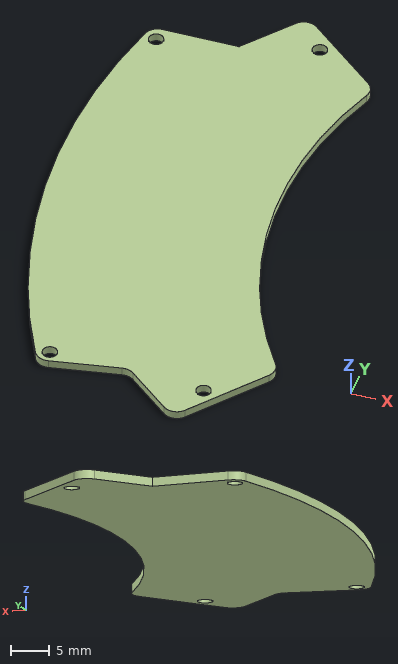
import cadquery as cq
import math

thickness = 1.2
arc_center = (65.8, 5.7)
outer_radius = 85.9
inner_radius = 55.6
corner_radius = 2.0
hole_diameter = 2.0

upper_shoulder_angle = 0.0
lower_shoulder_angle = 10.0
tab_angle = 50.0

upper_notch = (-4.2, 31.4)
upper_tab_tip = (2.8, 39.5)
lower_notch = (1.85, -32.4)
lower_tab_tip = (10.0, -39.3)

hole_centers = [(-14.9, 29.35), (6.1, 34.1), (-9.0, -32.6), (12.4, -33.35)]


def meet_arc(start, angle, radius):
    """Point where a ray from start, at angle degrees, first meets the circle about arc_center."""
    ux = math.cos(math.radians(angle))
    uy = math.sin(math.radians(angle))
    dx = arc_center[0] - start[0]
    dy = arc_center[1] - start[1]
    along = dx * ux + dy * uy
    across = dx * uy - dy * ux
    half_chord = math.sqrt(radius**2 - across**2)
    inside = math.hypot(dx, dy) < radius
    distance = along + half_chord if inside else along - half_chord
    return (start[0] + distance * ux, start[1] + distance * uy)


def arc_middle(radius):
    """Point of the circle about arc_center that lies furthest toward -X."""
    return (arc_center[0] - radius, arc_center[1])


upper_outer = meet_arc(upper_notch, upper_shoulder_angle + 180, outer_radius)
upper_inner = meet_arc(upper_tab_tip, tab_angle - 90, inner_radius)
lower_outer = meet_arc(lower_notch, lower_shoulder_angle + 180, outer_radius)
lower_inner = meet_arc(lower_tab_tip, tab_angle, inner_radius)

plate = (
    cq.Workplane("XY")
    .moveTo(*upper_outer)
    .lineTo(*upper_notch)
    .lineTo(*upper_tab_tip)
    .lineTo(*upper_inner)
    .threePointArc(arc_middle(inner_radius), lower_inner)
    .lineTo(*lower_tab_tip)
    .lineTo(*lower_notch)
    .lineTo(*lower_outer)
    .threePointArc(arc_middle(outer_radius), upper_outer)
    .close()
    .extrude(thickness)
)

rounded_corners = [
    upper_outer, upper_tab_tip, upper_inner,
    lower_outer, lower_notch, lower_tab_tip, lower_inner,
]
for x, y in rounded_corners:
    corner_edge = cq.selectors.NearestToPointSelector((x, y, thickness / 2))
    plate = plate.edges("|Z").edges(corner_edge).fillet(corner_radius)

holes = (
    cq.Workplane("XY")
    .pushPoints(hole_centers)
    .circle(hole_diameter / 2)
    .extrude(thickness)
)

result = plate.cut(holes)